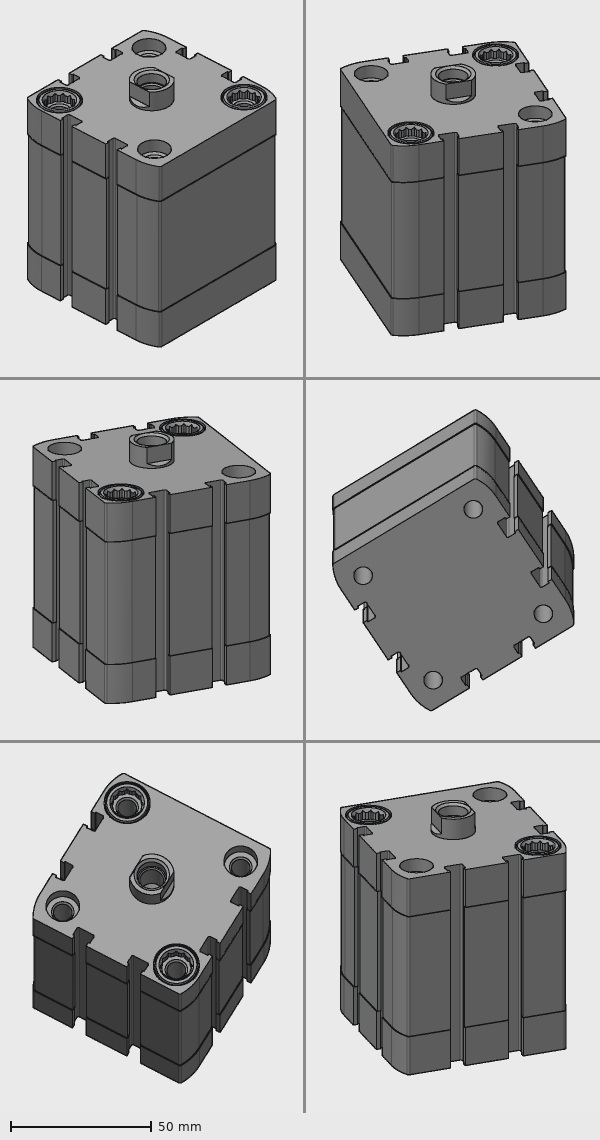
import cadquery as cq
import math

TOTAL_HEIGHT = 84.95
ROD_PROJECTION = 8.0
HOUSING_HEIGHT = TOTAL_HEIGHT - ROD_PROJECTION
CAP_HEIGHT = 14.95

WIDTH = 65.5
BARREL_INSET = 0.3
CORNER_ARC_RADIUS = 18.7
CORNER_ARC_START = 23.2
CORNER_FILLET = 1.0

SLOT_OFFSET = 11.1
SLOT_MOUTH_WIDTH = 5.4
SLOT_INNER_WIDTH = 6.9
SLOT_DEPTH = 5.0
SLOT_LIP = 1.7
SLOT_FILLET = 0.6
CAP_LIP_SETBACK = 0.1

HOLE_OFFSET = 23.3
HOLE_DIAMETER = 6.6
HOLE_CHAMFER_DIAMETER = 8.0
HOLE_CHAMFER_DEPTH = 0.7
SOCKET_DIAMETER = 12.0
SOCKET_DEPTH = 5.0

DRIVE_DEPTH = 4.25
DRIVE_POINT_DIAMETER = 11.4
DRIVE_CREST_DIAMETER = 10.5
DRIVE_MOUTH_DIAMETER = 12.3
DRIVE_MOUTH_DEPTH = 1.45
GROOVE_OUTER_DIAMETER = 16.4
GROOVE_INNER_DIAMETER = 15.5
GROOVE_BEVEL_DIAMETER = 14.6
GROOVE_BEVEL_DEPTH = 0.5
GROOVE_DEPTH = 1.0

ROD_DIAMETER = 16.0
ROD_BOTTOM = CAP_HEIGHT
ROD_FLATS_WIDTH = 12.75
ROD_FLATS_HEIGHT = 6.2
ROD_FLATS_RUNOUT = 1.0
ROD_MOUTH_DIAMETER = 12.6
ROD_MOUTH_DEPTH = 0.85
ROD_COUNTERBORE_DIAMETER = 10.5
ROD_COUNTERBORE_DEPTH = 4.6
ROD_BORE_DIAMETER = 8.4
ROD_BORE_CHAMFER_DIAMETER = 9.5
ROD_BORE_DEPTH = 17.0
DRILL_POINT_ANGLE = 118.0


def block(width, z_bottom, height, inset):
    """Square prism with large corner arcs; `inset` shrinks the outline evenly."""
    half = width / 2 - inset
    radius = CORNER_ARC_RADIUS - inset
    centre_y = half - radius
    reach = half - CORNER_ARC_START
    edge_y = centre_y + math.sqrt(radius**2 - reach**2)
    middle_angle = (math.pi / 2 + math.acos(reach / radius)) / 2
    middle_x = CORNER_ARC_START + radius * math.cos(middle_angle)
    middle_y = centre_y + radius * math.sin(middle_angle)
    return (
        cq.Workplane("XY", origin=(0, 0, z_bottom))
        .moveTo(-CORNER_ARC_START, half)
        .lineTo(CORNER_ARC_START, half)
        .threePointArc((middle_x, middle_y), (half, edge_y))
        .lineTo(half, -edge_y)
        .threePointArc((middle_x, -middle_y), (CORNER_ARC_START, -half))
        .lineTo(-CORNER_ARC_START, -half)
        .threePointArc((-middle_x, -middle_y), (-half, -edge_y))
        .lineTo(-half, edge_y)
        .threePointArc((-middle_x, middle_y), (-CORNER_ARC_START, half))
        .close()
        .extrude(height)
        .edges(cq.selectors.BoxSelector((-width, -edge_y - 0.1, -0.85), (width, edge_y + 0.1, TOTAL_HEIGHT)))
        .edges("|Z")
        .fillet(CORNER_FILLET)
    )


def sensor_slot(angle, offset, z_bottom, height, lip_setback):
    """T-shaped slot, made in the -Y face and turned by `angle`; `lip_setback` trims its two lips."""
    mouth_width = SLOT_MOUTH_WIDTH + 2 * lip_setback
    lip = SLOT_LIP - lip_setback
    chamber_depth = SLOT_DEPTH - lip
    mouth = cq.Workplane("XY").box(mouth_width, SLOT_DEPTH, height, centered=(True, False, False))
    chamber = (
        cq.Workplane("XY")
        .box(SLOT_INNER_WIDTH, chamber_depth, height, centered=(True, False, False))
        .edges("|Z and >Y")
        .fillet(SLOT_FILLET)
        .translate((0, lip, 0))
    )
    slot = mouth.union(chamber).translate((offset, -WIDTH / 2, z_bottom))
    return slot.rotate((0, 0, 0), (0, 0, 1), angle)


def cone_frustum(z_top, top_diameter, bottom_diameter, depth):
    """Frustum between two diameters, from z_top down."""
    return cq.Workplane(
        cq.Solid.makeCone(bottom_diameter / 2, top_diameter / 2, depth, pnt=cq.Vector(0, 0, z_top - depth))
    )


def cylinder(z_top, diameter, depth):
    return cq.Workplane("XY", origin=(0, 0, z_top - depth)).circle(diameter / 2).extrude(depth)


def through_hole(z_top):
    """Hole chamfered at z_top, down through the rest of the housing."""
    hole = cylinder(z_top, HOLE_DIAMETER, z_top)
    return hole.union(cone_frustum(z_top, HOLE_CHAMFER_DIAMETER, HOLE_DIAMETER, HOLE_CHAMFER_DEPTH))


def round_socket():
    socket = cylinder(HOUSING_HEIGHT, SOCKET_DIAMETER, SOCKET_DEPTH)
    return socket.union(through_hole(HOUSING_HEIGHT - SOCKET_DEPTH))


def drive_socket():
    """Twelve-point socket: two hexagons, half a step apart, with rounded crests and a conical mouth."""
    floor = HOUSING_HEIGHT - DRIVE_DEPTH
    socket = cylinder(HOUSING_HEIGHT, DRIVE_CREST_DIAMETER, DRIVE_DEPTH)
    hexagon = cq.Workplane("XY", origin=(0, 0, floor)).polygon(6, DRIVE_POINT_DIAMETER).extrude(DRIVE_DEPTH)
    for angle in (0, 30):
        socket = socket.union(hexagon.rotate((0, 0, 0), (0, 0, 1), angle))
    mouth = cone_frustum(HOUSING_HEIGHT, DRIVE_MOUTH_DIAMETER, DRIVE_CREST_DIAMETER, DRIVE_MOUTH_DEPTH)
    return socket.union(mouth).union(through_hole(floor))


def ring_groove():
    """Groove around a drive socket, with its inner wall bevelled at the top."""
    bevel_z = HOUSING_HEIGHT - GROOVE_BEVEL_DEPTH
    bevel = cone_frustum(HOUSING_HEIGHT, GROOVE_BEVEL_DIAMETER, GROOVE_INNER_DIAMETER, GROOVE_BEVEL_DEPTH)
    core = cylinder(bevel_z, GROOVE_INNER_DIAMETER, GROOVE_DEPTH - GROOVE_BEVEL_DEPTH)
    return cylinder(HOUSING_HEIGHT, GROOVE_OUTER_DIAMETER, GROOVE_DEPTH).cut(core).cut(bevel)


def make_housing():
    cap_bottoms = (0, HOUSING_HEIGHT - CAP_HEIGHT)
    body = block(WIDTH, 0, HOUSING_HEIGHT, BARREL_INSET)
    for z_bottom in cap_bottoms:
        body = body.union(block(WIDTH, z_bottom, CAP_HEIGHT, 0))

    for angle in (0, -90, 180):
        for offset in (-SLOT_OFFSET, SLOT_OFFSET):
            body = body.cut(sensor_slot(angle, offset, 0, HOUSING_HEIGHT, 0))
            for z_bottom in cap_bottoms:
                body = body.cut(sensor_slot(angle, offset, z_bottom, CAP_HEIGHT, CAP_LIP_SETBACK))

    for side in (-1, 1):
        drive_place = (side * HOLE_OFFSET, side * HOLE_OFFSET, 0)
        round_place = (side * HOLE_OFFSET, -side * HOLE_OFFSET, 0)
        body = body.cut(drive_socket().translate(drive_place))
        body = body.cut(ring_groove().translate(drive_place))
        body = body.cut(round_socket().translate(round_place))

    return body.cut(cylinder(HOUSING_HEIGHT, ROD_DIAMETER, HOUSING_HEIGHT - ROD_BOTTOM))


def flat_cutter():
    """Material outside the +Y wrench flat; its lower end slopes out to the rod surface."""
    flat_y = ROD_FLATS_WIDTH / 2
    rod_y = ROD_DIAMETER / 2
    flat_end = TOTAL_HEIGHT - ROD_FLATS_HEIGHT
    return (
        cq.Workplane("YZ", origin=(-rod_y, 0, 0))
        .polyline(
            [
                (flat_y, TOTAL_HEIGHT),
                (flat_y, flat_end),
                (rod_y, flat_end - ROD_FLATS_RUNOUT),
                (rod_y, TOTAL_HEIGHT),
            ]
        )
        .close()
        .extrude(ROD_DIAMETER)
    )


def make_rod():
    rod = cylinder(TOTAL_HEIGHT, ROD_DIAMETER, TOTAL_HEIGHT - ROD_BOTTOM)
    for angle in (0, 180):
        rod = rod.cut(flat_cutter().rotate((0, 0, 0), (0, 0, 1), angle))

    step_z = TOTAL_HEIGHT - ROD_COUNTERBORE_DEPTH
    bore_z = TOTAL_HEIGHT - ROD_BORE_DEPTH
    bore_chamfer_depth = (ROD_BORE_CHAMFER_DIAMETER - ROD_BORE_DIAMETER) / 2
    point_depth = ROD_BORE_DIAMETER / 2 / math.tan(math.radians(DRILL_POINT_ANGLE / 2))
    rod = rod.cut(cone_frustum(TOTAL_HEIGHT, ROD_MOUTH_DIAMETER, ROD_COUNTERBORE_DIAMETER, ROD_MOUTH_DEPTH))
    rod = rod.cut(cylinder(TOTAL_HEIGHT, ROD_COUNTERBORE_DIAMETER, ROD_COUNTERBORE_DEPTH))
    rod = rod.cut(cone_frustum(step_z, ROD_BORE_CHAMFER_DIAMETER, ROD_BORE_DIAMETER, bore_chamfer_depth))
    rod = rod.cut(cylinder(TOTAL_HEIGHT, ROD_BORE_DIAMETER, ROD_BORE_DEPTH))
    return rod.cut(cone_frustum(bore_z, ROD_BORE_DIAMETER, 0, point_depth))


housing = make_housing()
rod = make_rod()
result = cq.Compound.makeCompound([housing.val(), rod.val()])